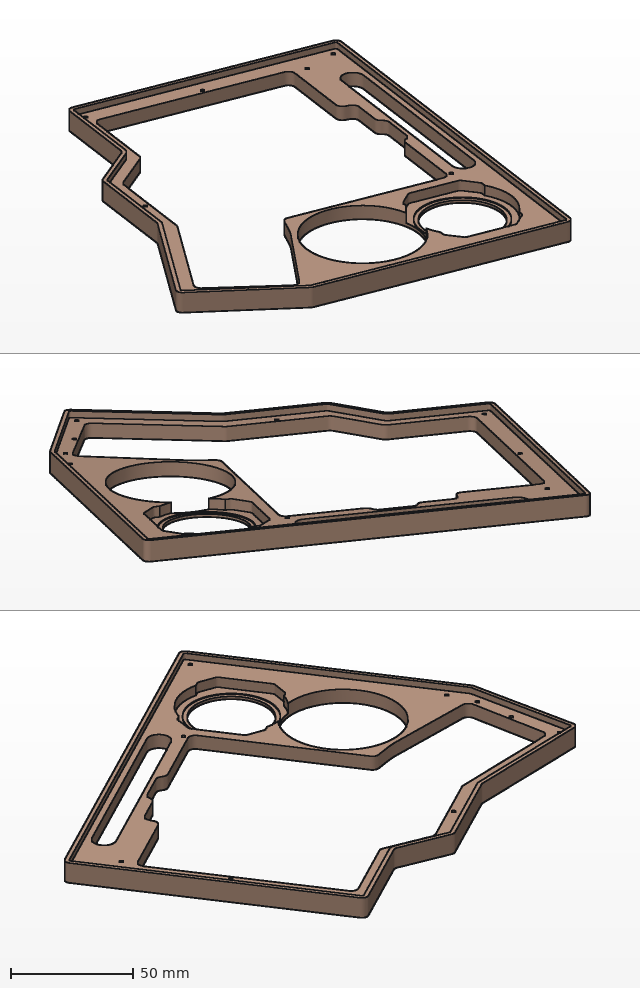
import cadquery as cq
import math

LENGTH = 192.2
HEIGHT = 9.2

RIM_WIDTH = 2.0
RIM_HEIGHT = 2.9
PLATE_TOP = HEIGHT - RIM_HEIGHT

OUTER_RADIUS = 2.7
OPENING_RADIUS = 3.0
BEND_RADIUS = 34.6

LEFT_SIDE_Y = -128.0
RIGHT_SIDE_Y = -123.2
FRONT_Y = -148.5
OUTER_CORNERS = [
    (0, 0, OUTER_RADIUS),
    (LENGTH, 0, OUTER_RADIUS),
    (LENGTH, RIGHT_SIDE_Y, OUTER_RADIUS),
    (169.0, -173.6, OUTER_RADIUS),
    (109.5, FRONT_Y, OUTER_RADIUS),
    (64.2, FRONT_Y, OUTER_RADIUS),
    (45.5, LEFT_SIDE_Y, OUTER_RADIUS),
    (0, LEFT_SIDE_Y, OUTER_RADIUS),
]

OPENING_LEFT = 10.2
OPENING_RIGHT = 126.9
OPENING_BACK = -20.8
OPENING_STEP_Y = -28.0
NOTCH_Y = -17.1
OPENING_LEFT_FRONT = -121.1
OPENING_FRONT = -139.8
OPENING_CORNERS = [
    (OPENING_LEFT, OPENING_STEP_Y, OPENING_RADIUS),
    (49.5, OPENING_STEP_Y, OPENING_RADIUS),
    (50.4, OPENING_BACK, OPENING_RADIUS),
    (67.7, OPENING_BACK, OPENING_RADIUS),
    (69.5, NOTCH_Y, OPENING_RADIUS),
    (87.0, NOTCH_Y, OPENING_RADIUS),
    (89.4, OPENING_BACK, OPENING_RADIUS),
    (OPENING_RIGHT, OPENING_BACK, OPENING_RADIUS),
    (OPENING_RIGHT, -99.2, OPENING_RADIUS),
    (139.4, -102.9, BEND_RADIUS),
    (182.8, -123.5, OPENING_RADIUS),
    (164.0, -162.3, OPENING_RADIUS),
    (111.0, OPENING_FRONT, OPENING_RADIUS),
    (66.0, OPENING_FRONT, OPENING_RADIUS),
    (48.8, OPENING_LEFT_FRONT, OPENING_RADIUS),
    (OPENING_LEFT, OPENING_LEFT_FRONT, OPENING_RADIUS),
]

SLOT_LEFT = 23.8
SLOT_RIGHT = 124.0
SLOT_WIDTH = 10.2
SLOT_Y = -9.8

ROUND_X = 155.3
LARGE_HOLE_Y = -78.0
LARGE_HOLE_DIAMETER = 53.0
SMALL_HOLE_Y = -31.0
SMALL_HOLE_DIAMETER = 36.1
LIP_DIAMETER = 40.0
LIP_FLOOR = 1.3

POCKET_WIDTH = 46.5
POCKET_LENGTH_Y = 37.1
POCKET_CHAMFER = 6.5
POCKET_CORNER_RADIUS = 2.0
POCKET_FLOOR = 1.7

SCREW_DIAMETER = 1.61
SCREW_FLOOR = 2.0
SCREW_INSET = 5.5
SCREW_POINTS = [
    (SCREW_INSET, -SCREW_INSET),
    (LENGTH - SCREW_INSET, -SCREW_INSET),
    (SCREW_INSET, -122.3),
    (LENGTH - SCREW_INSET, -113.6),
    (124.8, -18.6),
    (12.0, -21.5),
    (8.0, -68.6),
    (184.2, -127.3),
    (174.8, -144.0),
    (166.3, -166.5),
    (88.5, -141.9),
]


def rounded_outline(corners, z=0.0):
    """Closed outline through (x, y, radius) corners, each rounded by a tangent arc."""
    outline = cq.Workplane("XY").workplane(offset=z)
    for index, (x, y, radius) in enumerate(corners):
        corner = cq.Vector(x, y)
        before = cq.Vector(*corners[index - 1][:2])
        after = cq.Vector(*corners[(index + 1) % len(corners)][:2])
        to_before = (before - corner).normalized()
        to_after = (after - corner).normalized()
        half_angle = to_before.getAngle(to_after) / 2
        setback = radius / math.tan(half_angle)
        bulge = radius / math.sin(half_angle) - radius
        arc_start = corner + to_before * setback
        arc_middle = corner + (to_before + to_after).normalized() * bulge
        arc_end = corner + to_after * setback
        if index == 0:
            outline = outline.moveTo(arc_start.x, arc_start.y)
        else:
            outline = outline.lineTo(arc_start.x, arc_start.y)
        outline = outline.threePointArc((arc_middle.x, arc_middle.y), (arc_end.x, arc_end.y))
    return outline.close()


def cylinder(x, y, diameter, floor=0.0):
    """Round cutter from the floor height up to the top of the frame."""
    return cq.Workplane("XY", origin=(x, y, floor)).circle(diameter / 2).extrude(HEIGHT - floor)


def rimmed_plate():
    blank = rounded_outline(OUTER_CORNERS).extrude(HEIGHT)
    recess = rounded_outline(OUTER_CORNERS, PLATE_TOP).offset2D(-RIM_WIDTH).extrude(RIM_HEIGHT)
    return blank.cut(recess)


def slot():
    return (
        cq.Workplane("XY")
        .center((SLOT_LEFT + SLOT_RIGHT) / 2, SLOT_Y)
        .slot2D(SLOT_RIGHT - SLOT_LEFT, SLOT_WIDTH)
        .extrude(HEIGHT)
    )


def stepped_pocket():
    chamfered_block = (
        cq.Workplane("XY", origin=(ROUND_X, SMALL_HOLE_Y, POCKET_FLOOR))
        .rect(POCKET_WIDTH, POCKET_LENGTH_Y)
        .extrude(HEIGHT - POCKET_FLOOR)
        .edges("|Z")
        .chamfer(POCKET_CHAMFER)
        .edges("|Z")
        .fillet(POCKET_CORNER_RADIUS)
    )
    return (
        chamfered_block
        .union(cylinder(ROUND_X, SMALL_HOLE_Y, POCKET_WIDTH, POCKET_FLOOR))
        .union(cylinder(ROUND_X, SMALL_HOLE_Y, LIP_DIAMETER, LIP_FLOOR))
        .union(cylinder(ROUND_X, SMALL_HOLE_Y, SMALL_HOLE_DIAMETER))
    )


result = (
    rimmed_plate()
    .cut(rounded_outline(OPENING_CORNERS).extrude(HEIGHT))
    .cut(slot())
    .cut(stepped_pocket())
    .cut(cylinder(ROUND_X, LARGE_HOLE_Y, LARGE_HOLE_DIAMETER))
)
for screw_x, screw_y in SCREW_POINTS:
    result = result.cut(cylinder(screw_x, screw_y, SCREW_DIAMETER, SCREW_FLOOR))